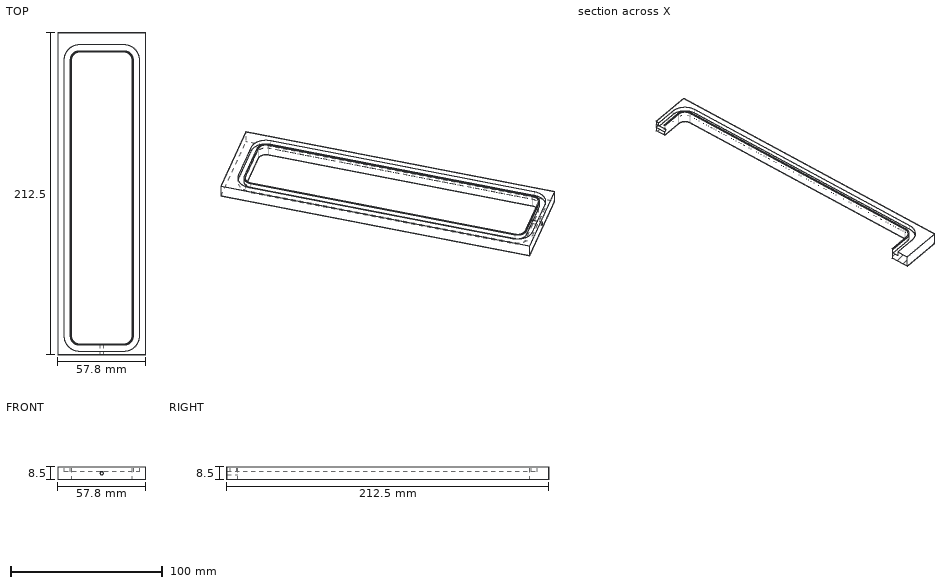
import cadquery as cq

WIDTH = 57.8
LENGTH = 212.5
HEIGHT = 8.5

OPENING_WIDTH = 40.0
OPENING_LENGTH = 192.6
OPENING_RADIUS = 5.3
OPENING_CENTER_Y = -2.8

LIP_THICKNESS = 0.9
GROOVE_WIDTH = 4.0
GROOVE_DEPTH = 3.2

PORT_DIAMETER = 2.08


def opening_prism(offset, bottom, top):
    """Rounded prism whose outline lies a given distance outside the opening."""
    return (
        cq.Workplane("XY", origin=(0, OPENING_CENTER_Y, bottom))
        .rect(OPENING_WIDTH + 2 * offset, OPENING_LENGTH + 2 * offset)
        .extrude(top - bottom)
        .edges("|Z")
        .fillet(OPENING_RADIUS + offset)
    )


frame = cq.Workplane("XY").box(WIDTH, LENGTH, HEIGHT, centered=(True, True, False))
opening = opening_prism(0, 0, HEIGHT)

groove_offset = LIP_THICKNESS + GROOVE_WIDTH
groove_floor = HEIGHT - GROOVE_DEPTH
lip = opening_prism(LIP_THICKNESS, groove_floor, HEIGHT)
groove = opening_prism(groove_offset, groove_floor, HEIGHT).cut(lip)

port = (
    cq.Workplane("XZ", origin=(0, OPENING_CENTER_Y, HEIGHT / 2))
    .circle(PORT_DIAMETER / 2)
    .extrude(LENGTH / 2)
)

result = frame.cut(opening).cut(groove).cut(port)